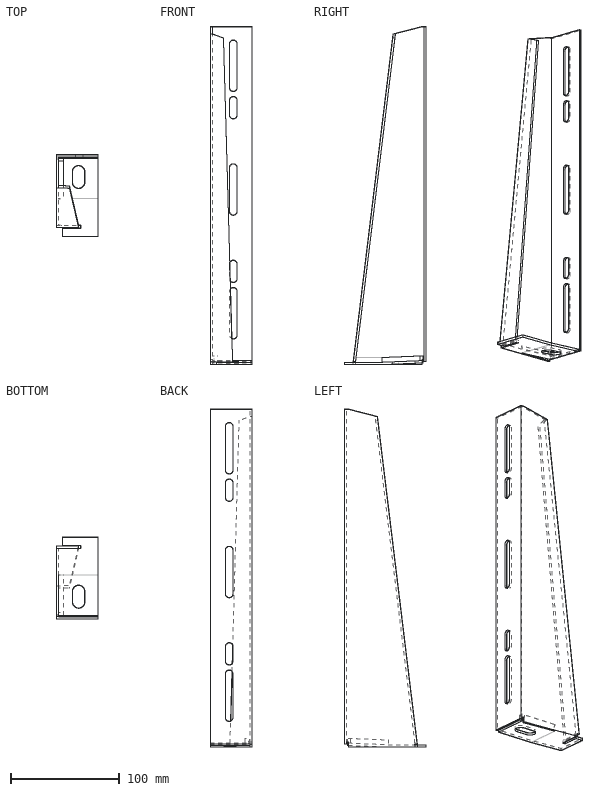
import cadquery as cq
import math

thickness = 2.2
width = 38.5
depth = 75.0
height = 310.5

crest_length = 3.7
web_top_depth = 30.5
web_top_height = 303.5
web_foot_depth = 67.5
bend_relief_depth = 3.7
bend_relief_height = 4.7
back_bottom = 2.8
front_relief_depth = 65.0
front_relief_height = 3.7

flange_top_width = 12.0
flange_foot_width = 20.5
flange_bottom = 2.5
flange_top_drop = 3.7

foot_lip_start = 5.5
foot_back_depth = 3.0
foot_bend_depth = 40.5
foot_rear_lift = 1.5
foot_bend_radius = 4.5
foot_relief_end = 22.5
foot_slot_x = 20.5
foot_slot_depth = 20.5
foot_slot_length = 20.8
foot_slot_width = 11.2

slot_x = 21.0
slot_width = 6.8
long_slot = 47.0
short_slot = 20.2
slot_middle = 160.8
short_slot_offset = 75.0
long_slot_offset = 113.5


def box(x0, x1, y0, y1, z0, z1):
    """Box between opposite corners."""
    return cq.Workplane("XY").box(x1 - x0, y1 - y0, z1 - z0, centered=False).translate((x0, y0, z0))


def side_prism(points, x0, x1):
    """Extrude a (Y, Z) outline from x0 to x1."""
    return cq.Workplane("YZ").workplane(offset=x0).polyline(points).close().extrude(x1 - x0)


def make_back():
    back = box(0, width, -thickness, 0, back_bottom, height)
    slots = [(slot_middle, long_slot)]
    for side in (-1, 1):
        slots.append((slot_middle + side * short_slot_offset, short_slot))
        slots.append((slot_middle + side * long_slot_offset, long_slot))
    for z, length in slots:
        cutter = cq.Workplane("XZ").center(slot_x, z).slot2D(length, slot_width, 90).extrude(thickness)
        back = back.cut(cutter)
    return back


def make_web():
    web = side_prism(
        [
            (0, 0),
            (0, height),
            (-crest_length, height),
            (-web_top_depth, web_top_height),
            (-web_foot_depth, 0),
        ],
        0,
        thickness,
    )
    rear_relief = box(0, thickness, -bend_relief_depth, 0, 0, bend_relief_height)
    front_relief = box(0, thickness, -depth, -front_relief_depth, 0, front_relief_height)
    return web.cut(rear_relief).cut(front_relief)


def make_flange():
    """Strip along the sloping front edge of the web, widening downwards."""
    rise = web_top_height - flange_bottom
    run = (web_foot_depth - web_top_depth) * rise / web_top_height
    inset = thickness * math.hypot(run, rise) / rise
    strip = side_prism(
        [
            (-web_top_depth, web_top_height),
            (-web_top_depth - run, flange_bottom),
            (-web_top_depth - run + inset, flange_bottom),
            (-web_top_depth + inset, web_top_height),
        ],
        0,
        width,
    )
    outline = (
        cq.Workplane("XZ")
        .polyline(
            [
                (0, flange_bottom),
                (0, web_top_height),
                (thickness, web_top_height),
                (flange_top_width, web_top_height - flange_top_drop),
                (flange_foot_width, flange_bottom),
            ]
        )
        .close()
        .extrude(depth)
    )
    return strip.intersect(outline)


def make_foot():
    """Foot plate whose rear part bends slightly upwards towards the back."""
    foot = side_prism(
        [
            (-depth, 0),
            (-foot_bend_depth, 0),
            (-foot_back_depth, foot_rear_lift),
            (-foot_back_depth, foot_rear_lift + thickness),
            (-foot_bend_depth, thickness),
            (-depth, thickness),
        ],
        0,
        width,
    )
    rear_relief = box(0, thickness, -bend_relief_depth, 0, 0, bend_relief_height)
    lip_trim = box(0, foot_lip_start, -depth, -front_relief_depth, 0, thickness)
    flange_relief = box(0, foot_relief_end, -web_foot_depth, -front_relief_depth, 0, thickness)
    slot = (
        cq.Workplane("XY")
        .center(foot_slot_x, -foot_slot_depth)
        .slot2D(foot_slot_length, foot_slot_width, 90)
        .extrude(foot_rear_lift + 2 * thickness)
    )
    return foot.cut(rear_relief).cut(lip_trim).cut(flange_relief).cut(slot)


def make_foot_bend():
    """Concave fillet inside the bend between the web and the rear of the foot."""
    corner = side_prism(
        [
            (-front_relief_depth, 0),
            (-foot_bend_depth, 0),
            (-foot_back_depth, foot_rear_lift),
            (-foot_back_depth, foot_rear_lift + thickness + foot_bend_radius),
            (-foot_bend_depth, thickness + foot_bend_radius),
            (-front_relief_depth, thickness + foot_bend_radius),
        ],
        thickness,
        thickness + foot_bend_radius,
    )
    front_hollow = (
        cq.Workplane("XZ", origin=(0, -foot_bend_depth, 0))
        .center(thickness + foot_bend_radius, thickness + foot_bend_radius)
        .circle(foot_bend_radius)
        .extrude(depth - foot_bend_depth)
    )
    lift_angle = math.degrees(math.atan2(foot_rear_lift, foot_bend_depth - foot_back_depth))
    rear_hollow = (
        front_hollow.mirror("XZ", (0, -foot_bend_depth, 0))
        .rotate((0, -foot_bend_depth, 0), (1, -foot_bend_depth, 0), lift_angle)
    )
    return corner.cut(front_hollow).cut(rear_hollow)


result = make_back().union(make_web()).union(make_flange()).union(make_foot()).union(make_foot_bend())